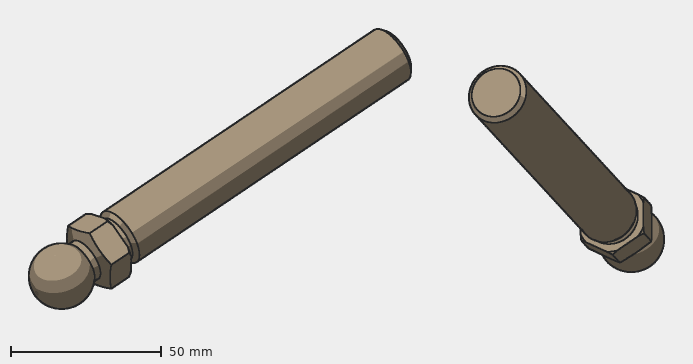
import cadquery as cq
import math

total_length = 157.0

ball_radius = 11.0
tip_flat_radius = 0.6
neck_radius = 7.5

across_flats = 22.0
corner_radius = across_flats / math.sqrt(3)
hex_start = 21.5
hex_end = 31.9
front_cone_length = 1.7
back_chamfer_length = 0.8
back_face_radius = 11.8

groove_radius = 8.2
groove_bevel = 1.0
relief_taper_start = 35.0

shank_radius = 10.0
shank_start = 36.5
end_chamfer = 1.5


def revolve_about_y(profile):
    """Close a half profile drawn in the XY plane and turn it around the Y axis."""
    return profile.close().revolve(360, (0, 0, 0), (0, 1, 0))


def make_ball_and_neck():
    centre = math.sqrt(ball_radius**2 - tip_flat_radius**2)
    neck_start = centre + math.sqrt(ball_radius**2 - neck_radius**2)
    return revolve_about_y(
        cq.Workplane("XY")
        .lineTo(tip_flat_radius, 0)
        .threePointArc((ball_radius, centre), (neck_radius, neck_start))
        .lineTo(neck_radius, hex_start)
        .lineTo(0, hex_start)
    )


def make_hex_collar():
    prism = (
        cq.Workplane("XZ")
        .polygon(6, 2 * corner_radius)
        .extrude(-(hex_end - hex_start))
        .rotate((0, 0, 0), (0, 1, 0), 30)
        .translate((0, hex_start, 0))
    )
    envelope = revolve_about_y(
        cq.Workplane("XY")
        .moveTo(0, hex_start)
        .lineTo(neck_radius, hex_start)
        .lineTo(corner_radius, hex_start + front_cone_length)
        .lineTo(corner_radius, hex_end - back_chamfer_length)
        .lineTo(back_face_radius, hex_end)
        .lineTo(0, hex_end)
    )
    return prism.intersect(envelope)


def make_shank():
    return revolve_about_y(
        cq.Workplane("XY")
        .moveTo(0, hex_end)
        .lineTo(groove_radius + groove_bevel, hex_end)
        .lineTo(groove_radius, hex_end + groove_bevel)
        .lineTo(groove_radius, relief_taper_start)
        .lineTo(shank_radius, shank_start)
        .lineTo(shank_radius, total_length - end_chamfer)
        .lineTo(shank_radius - end_chamfer, total_length)
        .lineTo(0, total_length)
    )


result = make_ball_and_neck().union(make_hex_collar()).union(make_shank())